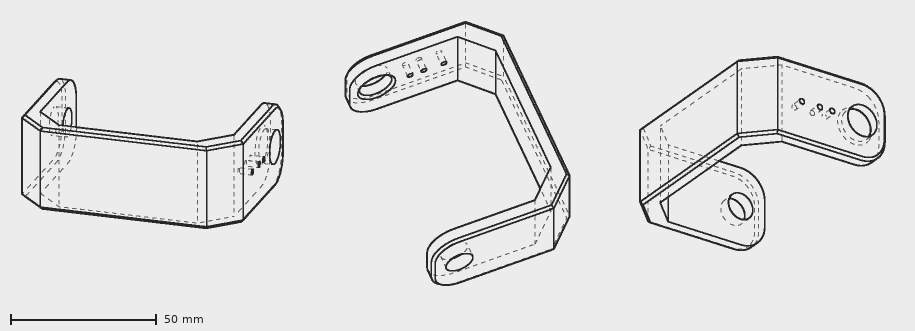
import cadquery as cq

width = 80.0
height = 30.0
corner_bevel = 10.0
length = 5.5 * corner_bevel
thickness = corner_bevel / 2
tip_radius = height / 3
edge_chamfer = corner_bevel / 10

pivot_from_tip = 10.0
left_pivot_diameter = 10.0
right_pivot_diameter = 12.0
pivot_chamfer = edge_chamfer

small_hole_diameter = 2.0
small_hole_distances = (12.5, 17.5, 25.0)

half_width = width / 2
inner_half_width = half_width - thickness
pivot_y = length - pivot_from_tip
mid_z = height / 2


def bevelled_block(half_span, front_y):
    """Full-height block with both front vertical corners bevelled."""
    return (
        cq.Workplane("XY")
        .moveTo(-half_span, length)
        .lineTo(-half_span, front_y + corner_bevel)
        .lineTo(-half_span + corner_bevel, front_y)
        .lineTo(half_span - corner_bevel, front_y)
        .lineTo(half_span, front_y + corner_bevel)
        .lineTo(half_span, length)
        .close()
        .extrude(height)
    )


def arm_cylinder(start_x, diameter, y):
    """Cutter along +X, one wall thickness long, at mid height."""
    return (
        cq.Workplane("YZ", origin=(start_x, y, mid_z))
        .circle(diameter / 2)
        .extrude(thickness)
    )


body = bevelled_block(half_width, 0)
body = body.faces(">Y").edges("|X").fillet(tip_radius)
tip_face_edges = body.faces(">Y").edges("|Z")
tip_arcs = body.edges("%CIRCLE")
strap_edges = body.faces("<Z or >Z").edges("not(>Y or |X)")
web_edges = body.faces("<Y").edges("|X")
rim_edges = strap_edges.add(web_edges).add(tip_arcs).add(tip_face_edges)
body = body.newObject(rim_edges.vals()).chamfer(edge_chamfer)

result = body.cut(bevelled_block(inner_half_width, thickness))

result = result.cut(arm_cylinder(-half_width, left_pivot_diameter, pivot_y))
result = result.cut(arm_cylinder(inner_half_width, right_pivot_diameter, pivot_y))
pivot_countersink = cq.Workplane(
    cq.Solid.makeCone(
        right_pivot_diameter / 2 + pivot_chamfer,
        right_pivot_diameter / 2,
        pivot_chamfer,
        cq.Vector(inner_half_width, pivot_y, mid_z),
        cq.Vector(1, 0, 0),
    )
)
result = result.cut(pivot_countersink)

for distance in small_hole_distances:
    result = result.cut(arm_cylinder(inner_half_width, small_hole_diameter, pivot_y - distance))